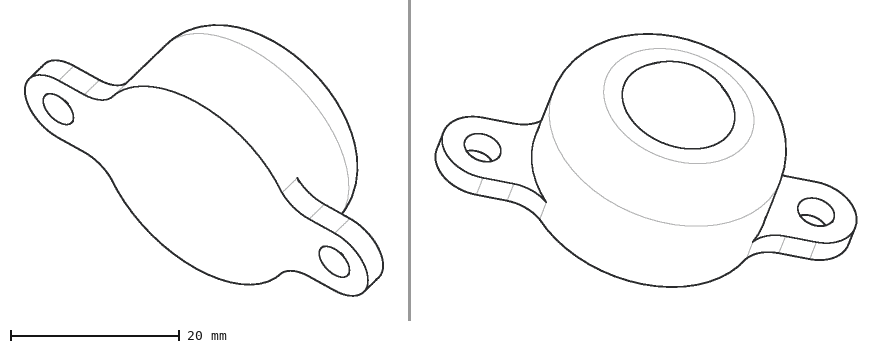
import cadquery as cq
import math

housing_diameter = 29.0
housing_height = 16.0
shoulder_radius = 5.25

ball_diameter = 16.0
overall_height = 20.0

flange_thickness = 3.0
hole_spacing = 41.0
hole_diameter = 4.5
ear_radius = 5.0
neck_radius = 5.0
straight_edge_length = 3.8

housing_radius = housing_diameter / 2
ball_radius = ball_diameter / 2
hole_x = hole_spacing / 2


def base_plane():
    """Workplane on the base face, with its normal along +Y."""
    return cq.Workplane(cq.Plane(origin=(0, 0, 0), xDir=(1, 0, 0), normal=(0, 1, 0)))


def make_housing():
    """Half profile in the YZ plane, revolved about the Y axis."""
    shoulder_start = housing_height - shoulder_radius
    top_face_radius = housing_radius - shoulder_radius
    arc_rise = shoulder_radius * math.sin(math.pi / 4)
    shoulder_middle = (shoulder_start + arc_rise, top_face_radius + arc_rise)
    profile = (
        cq.Workplane("YZ")
        .lineTo(0, housing_radius)
        .lineTo(shoulder_start, housing_radius)
        .threePointArc(shoulder_middle, (housing_height, top_face_radius))
        .lineTo(housing_height, 0)
        .close()
    )
    return profile.revolve(360, (0, 0), (1, 0))


def make_ball():
    return cq.Workplane("XY").sphere(ball_radius).translate((0, overall_height - ball_radius, 0))


def make_ear(side):
    """Ear on the given side (-1 or +1), blended into the housing by two concave neck arcs."""
    neck_x = hole_x - straight_edge_length
    neck_z = ear_radius + neck_radius

    center_distance = math.hypot(neck_x, neck_z)
    center_angle = math.atan2(neck_z, neck_x)
    meeting_angle = center_angle - math.acos(
        (housing_radius**2 + center_distance**2 - neck_radius**2) / (2 * housing_radius * center_distance)
    )
    meeting_x = housing_radius * math.cos(meeting_angle)
    meeting_z = housing_radius * math.sin(meeting_angle)

    start_direction = -math.pi / 2
    end_direction = math.atan2(meeting_z - neck_z, meeting_x - neck_x)
    middle_direction = (start_direction + end_direction) / 2
    middle_x = neck_x + neck_radius * math.cos(middle_direction)
    middle_z = neck_z + neck_radius * math.sin(middle_direction)

    outline = (
        base_plane()
        .moveTo(0, meeting_z)
        .lineTo(side * meeting_x, meeting_z)
        .threePointArc((side * middle_x, middle_z), (side * neck_x, ear_radius))
        .lineTo(side * hole_x, ear_radius)
        .threePointArc((side * (hole_x + ear_radius), 0), (side * hole_x, -ear_radius))
        .lineTo(side * neck_x, -ear_radius)
        .threePointArc((side * middle_x, -middle_z), (side * meeting_x, -meeting_z))
        .lineTo(0, -meeting_z)
        .close()
    )
    hole = base_plane().center(side * hole_x, 0).circle(hole_diameter / 2)
    return outline.extrude(flange_thickness).cut(hole.extrude(flange_thickness))


result = make_housing().union(make_ball())
for ear_side in (-1, 1):
    result = result.union(make_ear(ear_side))